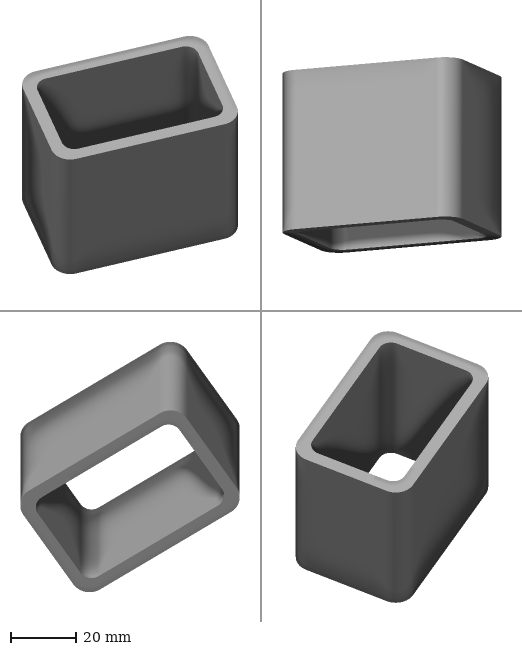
import cadquery as cq

width = 40.0
length = 60.0
height = 50.0
wall = 4.0
outer_radius = 6.0
inner_radius = 4.0


def rounded_block(size_x, size_y, corner_radius):
    """Upright block standing on Z = 0, with its vertical edges rounded."""
    block = cq.Workplane("XY").rect(size_x, size_y).extrude(height)
    return block.edges("|Z").fillet(corner_radius)


outer_body = rounded_block(width, length, outer_radius)
through_opening = rounded_block(width - 2 * wall, length - 2 * wall, inner_radius)

result = outer_body.cut(through_opening)